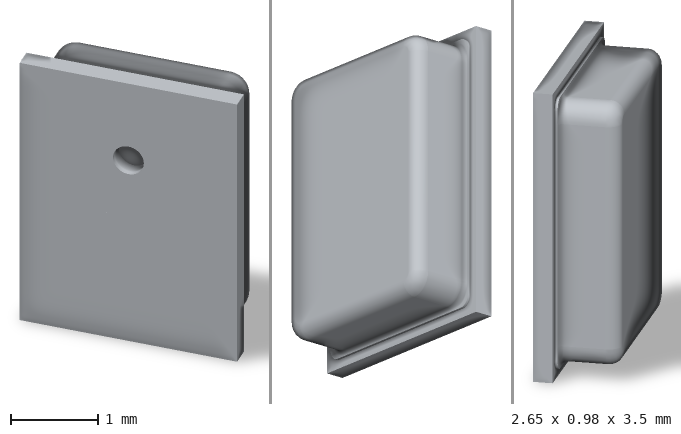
import cadquery as cq

board_width = 2.65
board_height = 3.5
board_thickness = 0.23
total_depth = 0.98

port_z = 0.707
port_diameter = 0.375
port_depth = 0.2
ring_outer_diameter = 1.625
ring_inner_diameter = 1.022

pad_width = 0.6
pad_height = 0.52
pad_column_pitch = 0.895
lower_pad_z = -1.358
upper_pad_z = -0.545
contact_thickness = 0.025
pad_centers = [
    (-pad_column_pitch, lower_pad_z),
    (0, lower_pad_z),
    (pad_column_pitch, lower_pad_z),
    (-pad_column_pitch, upper_pad_z),
    (pad_column_pitch, upper_pad_z),
]

lid_width = 2.34
lid_height = 3.19
lid_depth = total_depth - board_thickness
lid_corner_radius = 0.25
lid_edge_radius = 0.16
flange_overhang = 0.05
flange_thickness = 0.035
flange_corner_radius = 0.125
flange_fillet_radius = 0.045


def section_plane(y):
    """XZ sketch plane at depth y, with local z pointing along +Y and local y along -Z."""
    return cq.Workplane(cq.Plane(origin=(0, y, 0), xDir=(1, 0, 0), normal=(0, 1, 0)))


def block(width, height, depth, y=0, x=0, z=0):
    """Box centred on (x, z) that runs from y to y + depth."""
    return section_plane(y).center(x, -z).rect(width, height).extrude(depth)


def disc(diameter, depth):
    """Cylinder on the port axis, from the outer face of the board inward."""
    return section_plane(0).center(0, -port_z).circle(diameter / 2).extrude(depth)


def make_pad(x, z):
    """Flat rectangular contact, flush with the outer face of the board."""
    return block(pad_width, pad_height, contact_thickness, x=x, z=z)


def make_ring():
    """Flat annular contact around the port, flush with the outer face of the board."""
    inner = disc(ring_inner_diameter, contact_thickness)
    return disc(ring_outer_diameter, contact_thickness).cut(inner)


def make_board(contacts):
    """Plate with the blind port in it and a recess for each flush contact."""
    plate = block(board_width, board_height, board_thickness)
    plate = plate.cut(disc(port_diameter, port_depth))
    for contact in contacts:
        plate = plate.cut(contact)
    return plate


def make_lid():
    """Rounded can standing on its flange."""
    can = block(lid_width, lid_height, lid_depth, y=board_thickness)
    can = can.edges("|Y").fillet(lid_corner_radius)
    can = can.faces(">Y").edges().fillet(lid_edge_radius)

    flange = block(
        lid_width + 2 * flange_overhang,
        lid_height + 2 * flange_overhang,
        flange_thickness,
        y=board_thickness,
    )
    flange = flange.edges("|Y").fillet(flange_corner_radius)
    lid = can.union(flange)

    ledge = lid.faces("|Y").faces("<Y[1]").val()
    wall_foot = ledge.innerWires()[0].Edges()
    return lid.newObject(wall_foot).fillet(flange_fillet_radius)


pads = [make_pad(x, z) for x, z in pad_centers]
ring = make_ring()
board = make_board([ring, *pads])
lid = make_lid()

result = cq.Compound.makeCompound([board.val(), ring.val(), lid.val(), *[pad.val() for pad in pads]])